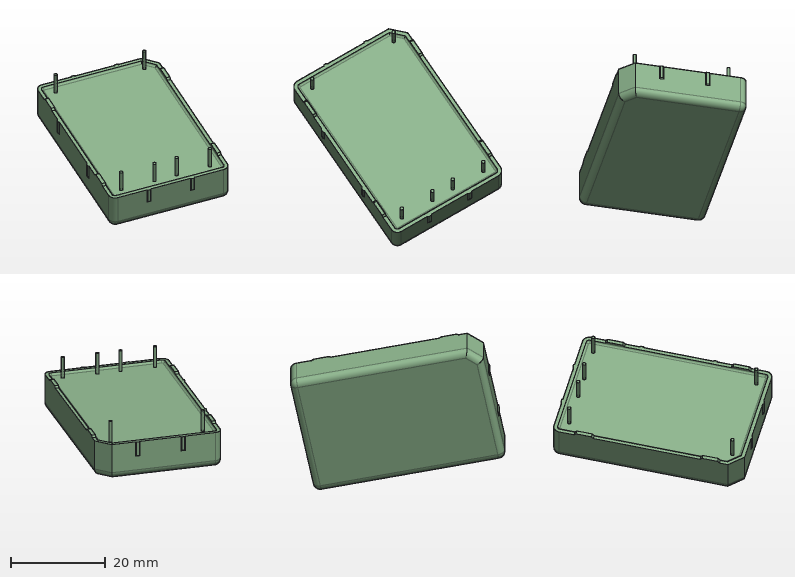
import cadquery as cq
import math

BODY_LENGTH = 41.2
BODY_WIDTH = 27.2
RIM_HEIGHT = 7.95
CORNER_RADIUS = 1.5
KEY_CHAMFER = 2.9

WALL = 0.85
RECESS_DEPTH = 0.5
RECESS_FLOOR_RADIUS = 0.45

PAD_HEIGHT = 0.4
PAD_BASE_LENGTH = 4.2
PAD_X = 13.73

RIB_DEPTH = 0.2
RIB_WIDTH = 1.0
RIB_LENGTH = 3.3
END_RIB_Y = 5.0
FRONT_RIB_X = 8.0

PIN_DIAMETER = 0.7
PIN_TOP = 12.15
PIN_X = 17.75
OUTER_PIN_Y = 10.15
INNER_PIN_Y = 2.55
PIN_POINTS = [
    (-PIN_X, OUTER_PIN_Y),
    (-PIN_X, -OUTER_PIN_Y),
    (PIN_X, OUTER_PIN_Y),
    (PIN_X, INNER_PIN_Y),
    (PIN_X, -INNER_PIN_Y),
    (PIN_X, -OUTER_PIN_Y),
]


def case_outline(inset, corner_radius, height):
    """Prism following the case outline, moved inwards by the inset, standing on Z = 0."""
    length = BODY_LENGTH - 2 * inset
    width = BODY_WIDTH - 2 * inset
    key_leg = KEY_CHAMFER - (2 - math.sqrt(2)) * inset
    prism = cq.Workplane("XY").box(length, width, height, centered=(True, True, False))
    prism = prism.edges("|Z and <X and >Y").chamfer(key_leg)
    prism = prism.edges("|Z and >X").fillet(corner_radius)
    return prism.edges("|Z and <Y and <X").fillet(corner_radius)


def case_body():
    return case_outline(0, CORNER_RADIUS, RIM_HEIGHT).faces("<Z").edges().fillet(CORNER_RADIUS)


def recess():
    """Pocket one wall inside the case outline with a rounded floor edge."""
    pocket = case_outline(WALL, CORNER_RADIUS - WALL, RECESS_DEPTH)
    pocket = pocket.faces("<Z").edges().fillet(RECESS_FLOOR_RADIUS)
    return pocket.translate((0, 0, RIM_HEIGHT - RECESS_DEPTH))


def pad(x, wall_side):
    """Trapezoid pad with 45 degree ends, as thick as the wall."""
    half_base = PAD_BASE_LENGTH / 2
    half_top = half_base - PAD_HEIGHT
    profile = (
        cq.Workplane("XZ")
        .moveTo(x - half_base, RIM_HEIGHT)
        .lineTo(x - half_top, RIM_HEIGHT + PAD_HEIGHT)
        .lineTo(x + half_top, RIM_HEIGHT + PAD_HEIGHT)
        .lineTo(x + half_base, RIM_HEIGHT)
        .close()
    )
    wall_centre = wall_side * (BODY_WIDTH - WALL) / 2
    return profile.extrude(WALL / 2, both=True).translate((0, wall_centre, 0))


def rib(wall_distance, position, turn=0):
    """Rib whose flanks and foot slope at 45 degrees out of the wall.

    It is shaped on the -Y wall and then turned about Z onto the wanted wall.
    """
    half_width = RIB_WIDTH / 2
    foot_centre = (position, -wall_distance, RIM_HEIGHT - RIB_LENGTH)
    section = (
        cq.Workplane("XY", origin=foot_centre)
        .moveTo(-half_width, 0)
        .lineTo(RIB_DEPTH - half_width, -RIB_DEPTH)
        .lineTo(half_width - RIB_DEPTH, -RIB_DEPTH)
        .lineTo(half_width, 0)
        .close()
    )
    foot_cut = (
        cq.Workplane("YZ", origin=foot_centre)
        .lineTo(-RIB_DEPTH, 0)
        .lineTo(-RIB_DEPTH, RIB_DEPTH)
        .close()
        .extrude(half_width, both=True)
    )
    return section.extrude(RIB_LENGTH).cut(foot_cut).rotate((0, 0, 0), (0, 0, 1), turn)


def pins():
    recess_floor = RIM_HEIGHT - RECESS_DEPTH
    return (
        cq.Workplane("XY", origin=(0, 0, recess_floor))
        .pushPoints(PIN_POINTS)
        .circle(PIN_DIAMETER / 2)
        .extrude(PIN_TOP - recess_floor)
    )


result = case_body().cut(recess())

for side in (-1, 1):
    for end in (-1, 1):
        result = result.union(pad(end * PAD_X, side))

for side in (-1, 1):
    result = result.union(rib(BODY_WIDTH / 2, side * FRONT_RIB_X))
    for turn in (-90, 90):
        result = result.union(rib(BODY_LENGTH / 2, side * END_RIB_Y, turn))

result = result.union(pins())